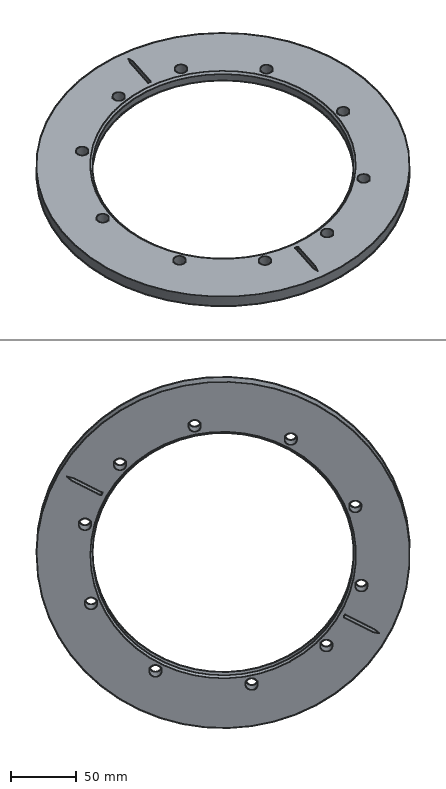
import cadquery as cq
import math

OUTER_DIAMETER = 283.8
THICKNESS = 10.41
BORE_DIAMETER = 198.5
BORE_CHAMFER = 1.75

HOLE_DIAMETER = 9.5
HOLE_CIRCLE_RADIUS = 108.0
HOLE_ANGLES = (15.0, 50.0, 90.0, 130.0, 165.0)

SLOT_INNER_RADIUS = 104.8
SLOT_TIP_RADIUS = 135.0
SLOT_WIDTH = 2.5
SLOT_TIP_LENGTH = 4.5


def make_ring():
    """Revolved ring with a chamfer around each edge of the bore."""
    bore_radius = BORE_DIAMETER / 2
    outer_radius = OUTER_DIAMETER / 2
    profile = [
        (bore_radius, BORE_CHAMFER),
        (bore_radius + BORE_CHAMFER, 0),
        (outer_radius, 0),
        (outer_radius, THICKNESS),
        (bore_radius + BORE_CHAMFER, THICKNESS),
        (bore_radius, THICKNESS - BORE_CHAMFER),
    ]
    return cq.Workplane("XZ").polyline(profile).close().revolve(360, (0, 0, 0), (0, 1, 0))


def make_holes():
    """Through holes on one circle, in diametrically opposite pairs."""
    centres = []
    for angle in HOLE_ANGLES:
        x = HOLE_CIRCLE_RADIUS * math.cos(math.radians(angle))
        y = HOLE_CIRCLE_RADIUS * math.sin(math.radians(angle))
        centres.extend([(x, y), (-x, -y)])
    return cq.Workplane("XY").pushPoints(centres).circle(HOLE_DIAMETER / 2).extrude(THICKNESS)


def make_slot(side):
    """Through slot on the +X (side = 1) or -X (side = -1) half of the ring."""
    inner_x = side * SLOT_INNER_RADIUS
    tip_x = side * SLOT_TIP_RADIUS
    shoulder_x = side * (SLOT_TIP_RADIUS - SLOT_TIP_LENGTH)
    half_width = SLOT_WIDTH / 2
    outline = [
        (inner_x, -half_width),
        (shoulder_x, -half_width),
        (tip_x, 0),
        (shoulder_x, half_width),
        (inner_x, half_width),
    ]
    return cq.Workplane("XY").polyline(outline).close().extrude(THICKNESS)


result = make_ring().cut(make_holes())
for side in (1, -1):
    result = result.cut(make_slot(side))